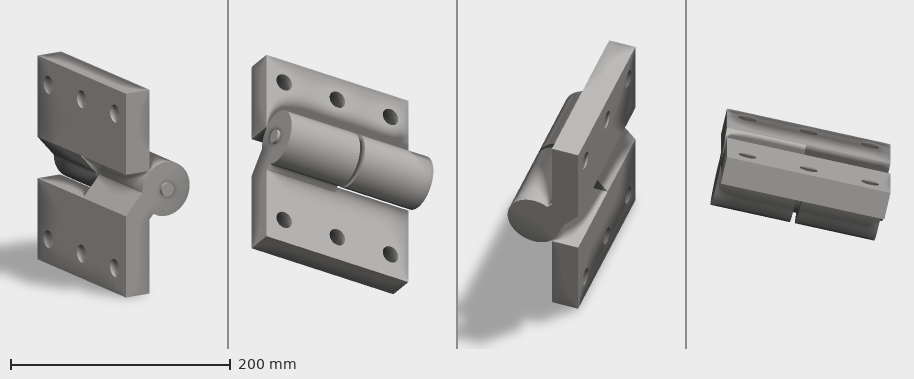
import cadquery as cq
import math

hinge_height = 192.5
leaf_length = 152.5
leaf_thickness = 25.5
leaf_inner_y = -17.5
leaf_outer_y = leaf_inner_y - leaf_thickness
leaf_edge_z = 19.6
leaf_end_z = hinge_height / 2

knuckle_radius = 25.5
knuckle_gap = 5.0
clearance_radius = 27.0
knuckle_length = (leaf_length - knuckle_gap) / 2
neck_root_z = 26.0
neck_tip_y = -13.3
neck_tip_z = math.sqrt(knuckle_radius**2 - neck_tip_y**2)

pin_diameter = 31.8
pin_end_diameter = 12.9
pin_end_length = 3.3

hole_diameter = 16.5
hole_pitch = 57.2
hole_end_margin = 23.3
hole_z = leaf_end_z - hole_end_margin


def make_plate():
    """Flat leaf plate, above the pin axis."""
    plate_height = leaf_end_z - leaf_edge_z
    return cq.Workplane("XY").box(
        leaf_length, leaf_thickness, plate_height, centered=(True, False, False)
    ).translate((0, leaf_outer_y, leaf_edge_z))


def make_knuckle():
    """Barrel and sloped neck at the -X end of the upper leaf."""
    start = cq.Workplane("YZ", origin=(-leaf_length / 2, 0, 0))
    barrel = start.circle(knuckle_radius).extrude(knuckle_length)
    neck = (
        start.moveTo(0, 0)
        .lineTo(-knuckle_radius, 0)
        .lineTo(leaf_outer_y, leaf_edge_z)
        .lineTo(leaf_outer_y, neck_root_z)
        .lineTo(leaf_inner_y, neck_root_z)
        .lineTo(neck_tip_y, neck_tip_z)
        .close()
        .extrude(knuckle_length)
    )
    return barrel.union(neck)


def make_clearance():
    """Round relief for the other leaf's knuckle, over the rest of the length."""
    return (
        cq.Workplane("YZ", origin=(-leaf_length / 2 + knuckle_length, 0, 0))
        .circle(clearance_radius)
        .extrude(leaf_length - knuckle_length)
    )


def make_screw_holes():
    """Row of through holes along the leaf."""
    return (
        cq.Workplane("XZ", origin=(0, leaf_inner_y, hole_z))
        .rarray(hole_pitch, 2, 3, 1)
        .circle(hole_diameter / 2)
        .extrude(leaf_thickness)
    )


def make_pin_bore():
    """Bore through the whole knuckle."""
    return (
        cq.Workplane("YZ", origin=(-leaf_length / 2, 0, 0))
        .circle(pin_diameter / 2)
        .extrude(knuckle_length)
    )


def make_leaf():
    """Upper leaf, with its knuckle at the -X end."""
    body = make_plate().cut(make_clearance()).union(make_knuckle())
    return body.cut(make_pin_bore()).cut(make_screw_holes())


def make_pin():
    """Pin flush with the -X end, with a thin stub past the +X end."""
    return (
        cq.Workplane("YZ", origin=(-leaf_length / 2, 0, 0))
        .circle(pin_diameter / 2)
        .extrude(leaf_length)
        .faces(">X")
        .workplane()
        .circle(pin_end_diameter / 2)
        .extrude(pin_end_length)
    )


leaves = [make_leaf().rotate((0, 0, 0), (0, 1, 0), turn) for turn in (0, 180)]
pin = make_pin()

result = cq.Compound.makeCompound([*(leaf.val() for leaf in leaves), pin.val()])